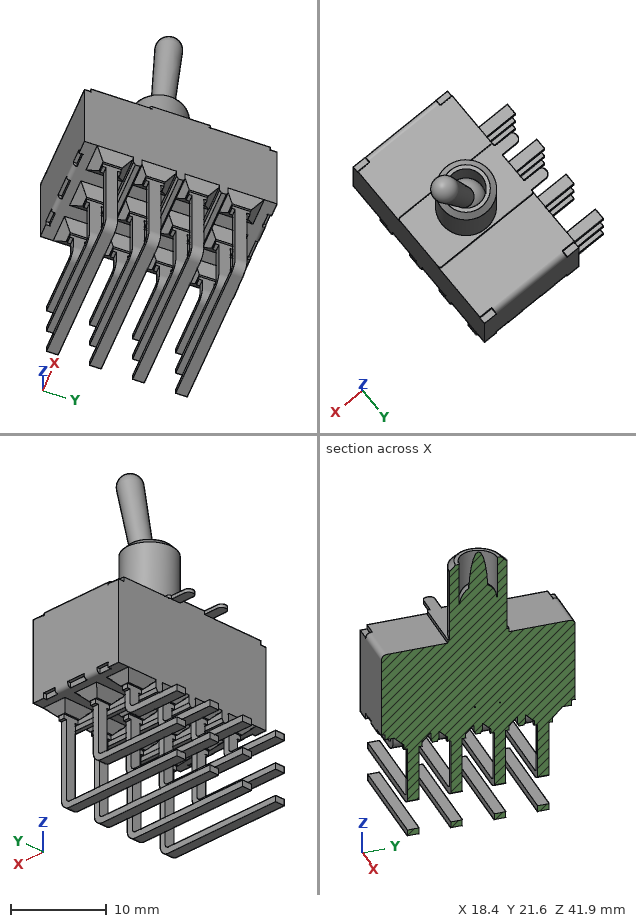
import cadquery as cq
import math


lever_top = 29.75
overall_z = 41.9
lead_bottom = lever_top - overall_z

body_x = 12.75
body_y = 21.6
body_z = 10.4
edge_strip_x = 9.55
edge_radius = 0.63
corner_notch_y = 0.75
corner_notch_z = 0.5

foot_recess_x = edge_strip_x
foot_recess_z = 0.63
foot_recess_depth = 0.4
center_recess_x = 2.45
side_recess_x = 1.65
bottom_edge_radius = 0.5

plate_y = 6.85
plate_z = 0.4
tongue_y = 1.25
tongue_reach = 2.5
tongue_corner = 0.6
plate_corner = 0.25

bushing_d = 6.4
bushing_top = 19.7
bushing_chamfer = 0.65
bore_d = 4.2

lever_tilt = 12.0
lever_length = 13.85
lever_root_r = 1.1
lever_tip_r = 1.45
lever_ball_r = bore_d / 2

row_pitch = 4.8
lead_pitch_x = 4.75
lead_pitch_z = 3.85
lead_thickness = 0.75
lead_width = 1.3
overall_x = 18.45
lead_end_x = body_x / 2 - overall_x
bend_inner_r = 0.45
bend_outer_r = bend_inner_r + lead_thickness
shoulder_y = 2.05
shoulder_bottom = -1.6

seat_x = 3.25
seat_y = 4.25
seat_drop = 1.05
seat_taper = 45.0

rib_y = 0.95
rib_drop = 1.35
rib_chamfer_y = 0.2
rib_chamfer_z = 0.4

plate_top = body_z + plate_z
row_positions = [(i - 1.5) * row_pitch for i in range(4)]


def box(x0, x1, y0, y1, z0, z1):
    """Axis-aligned block between two opposite corners."""
    return cq.Workplane("XY").box(x1 - x0, y1 - y0, z1 - z0, centered=False).translate((x0, y0, z0))


def centered_box(x, y, z0, z1, at_x=0.0, at_y=0.0):
    """Block centred on (at_x, at_y) between two heights."""
    return box(at_x - x / 2, at_x + x / 2, at_y - y / 2, at_y + y / 2, z0, z1)


def make_end_notches():
    """Corner notches and bottom recesses of the -Y end wall of the housing."""
    wall = -body_y / 2
    half_strip = edge_strip_x / 2

    cutter = cq.Workplane("XY")
    for side in (-1, 1):
        notch_x = (body_x - edge_strip_x) / 2
        notch_at = side * (half_strip + notch_x / 2)
        cutter = cutter.add(
            centered_box(notch_x, 2 * corner_notch_y, body_z - corner_notch_z, body_z, notch_at, wall)
        )

    side_at = (foot_recess_x - side_recess_x) / 2
    for width, at_x in ((side_recess_x, -side_at), (center_recess_x, 0), (side_recess_x, side_at)):
        cutter = cutter.add(centered_box(width, 2 * foot_recess_depth, 0, foot_recess_z, at_x, wall))
    return cutter.combine()


def edge_rounder(length, radius):
    """Sliver that rounds an edge along X, placed at a corner facing -Y and +Z."""
    return (
        cq.Workplane("YZ")
        .moveTo(0, 0)
        .lineTo(radius, 0)
        .radiusArc((0, -radius), -radius)
        .close()
        .extrude(length / 2, both=True)
    )


def make_housing():
    housing = centered_box(body_x, body_y, 0, body_z)
    top_round = edge_rounder(edge_strip_x, edge_radius).translate((0, -body_y / 2, body_z))
    bottom_round = (
        edge_rounder(foot_recess_x, bottom_edge_radius)
        .mirror("XY")
        .translate((0, -body_y / 2, 0))
    )
    for cutter in (make_end_notches(), top_round, bottom_round):
        housing = housing.cut(cutter).cut(cutter.mirror("XZ"))
    return housing


def make_plate():
    plate = centered_box(body_x, plate_y, body_z, plate_top).edges("|Z").fillet(plate_corner)
    for side in (-1, 1):
        at_y = side * row_pitch / 2
        tongue = centered_box(2 * tongue_reach, tongue_y, body_z, plate_top, -body_x / 2, at_y)
        plate = plate.union(tongue.edges("|Z and <X").fillet(tongue_corner))
    return plate


def make_bushing(pivot_z):
    bushing = (
        cq.Workplane("XY", origin=(0, 0, body_z))
        .circle(bushing_d / 2)
        .extrude(bushing_top - body_z)
        .faces(">Z")
        .chamfer(bushing_chamfer)
    )
    bore = cq.Workplane("XY", origin=(0, 0, pivot_z)).circle(bore_d / 2).extrude(bushing_top - pivot_z)
    return bushing.cut(bore)


def make_lever(pivot_z):
    """Tapered lever with a round tip, standing on a dome that fills the bore."""
    handle = (
        cq.Workplane("XZ")
        .lineTo(lever_root_r, 0)
        .lineTo(lever_tip_r, lever_length)
        .radiusArc((0, lever_length + lever_tip_r), -lever_tip_r)
        .close()
        .revolve(360, (0, 0, 0), (0, 1, 0))
        .rotate((0, 0, 0), (0, 1, 0), lever_tilt)
    )
    dome = cq.Workplane("XY").sphere(lever_ball_r)
    return dome.union(handle).translate((0, 0, pivot_z))


def make_lead(at_x, bottom):
    """L-shaped lead bent toward -X, centred on Y = 0, with a wide shoulder at its root."""
    right = at_x + lead_thickness / 2
    left = at_x - lead_thickness / 2
    top = bottom + lead_thickness
    lead = (
        cq.Workplane("XZ")
        .moveTo(right, 0)
        .lineTo(right, bottom + bend_outer_r)
        .radiusArc((right - bend_outer_r, bottom), bend_outer_r)
        .lineTo(lead_end_x, bottom)
        .lineTo(lead_end_x, top)
        .lineTo(left - bend_inner_r, top)
        .radiusArc((left, top + bend_inner_r), -bend_inner_r)
        .lineTo(left, 0)
        .close()
        .extrude(lead_width / 2, both=True)
    )
    return lead.union(centered_box(lead_thickness, shoulder_y, shoulder_bottom, 0, at_x))


def make_seat(at_x):
    """Pyramid under the housing, narrowing downward."""
    return (
        cq.Workplane("XY", origin=(at_x, 0, 0))
        .rect(seat_x, seat_y)
        .extrude(-seat_drop, taper=seat_taper)
    )


def make_lead_row():
    """Three leads and their seats, the lead nearest +X reaching lowest."""
    row = cq.Workplane("XY")
    for i in range(3):
        at_x = (i - 1) * lead_pitch_x
        bottom = lead_bottom + (2 - i) * lead_pitch_z
        row = row.add(make_seat(at_x).union(make_lead(at_x, bottom)))
    return row


def make_rib():
    half = rib_y / 2
    tip = half - rib_chamfer_y
    return (
        cq.Workplane("YZ")
        .polyline([
            (-half, 0),
            (-half, rib_chamfer_z - rib_drop),
            (-tip, -rib_drop),
            (tip, -rib_drop),
            (half, rib_chamfer_z - rib_drop),
            (half, 0),
        ])
        .close()
        .extrude(body_x / 2, both=True)
    )


lever_pivot_z = lever_top - lever_tip_r - lever_length * math.cos(math.radians(lever_tilt))

result = make_housing().union(make_plate())
result = result.union(make_bushing(lever_pivot_z)).union(make_lever(lever_pivot_z))

lead_row = make_lead_row()
for row_y in row_positions:
    for lead in lead_row.vals():
        result = result.union(cq.Workplane(lead).translate((0, row_y, 0)))

rib = make_rib()
for rib_at in (-row_pitch, 0, row_pitch):
    result = result.union(rib.translate((0, rib_at, 0)))